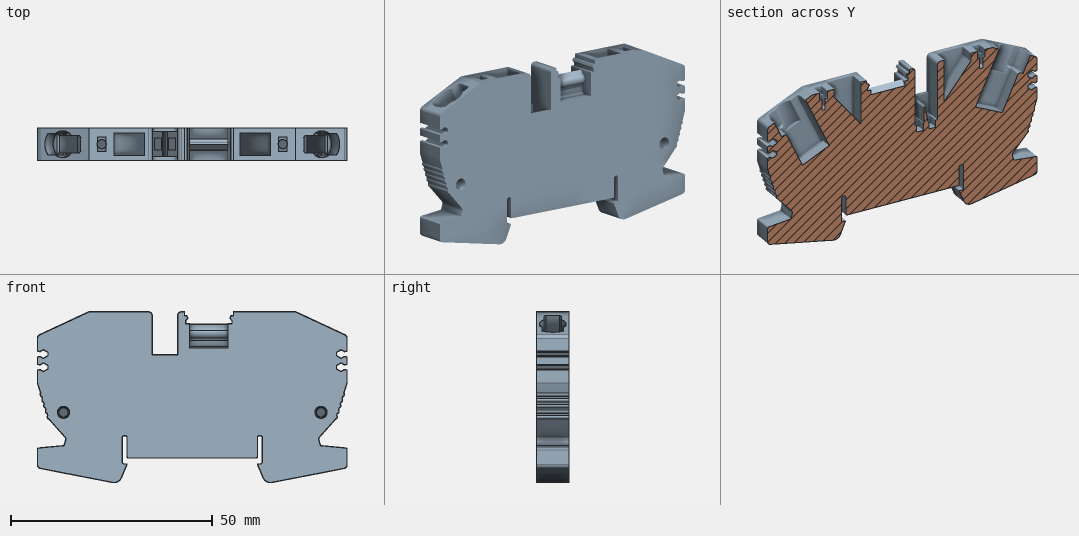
import math

import cadquery as cq

LENGTH = 76.84
THICKNESS = 8.1
HEIGHT = 42.4
HALF = LENGTH / 2

SHOULDER_X = 25.6
SLOPE = math.radians(25)
SLOPE_FOOT_Z = HEIGHT - (HALF - SHOULDER_X) * math.tan(SLOPE)
SHOULDER_RADIUS = 1.1

COMB_Z = (31.9, 28.63)
NOTCH_PROFILE = ((0.0, 0.72), (0.65, 0.55), (1.5, 1.05), (2.6, 0.4))

GRIP_TOP_Z = 24.78
GRIP_BOTTOM = (-35.57, 15.78)
RIB_TOP_Z = 22.23
RIB_PITCH = 1.4
RIB_COUNT = 5
RIB_RISE = 0.25
RIB_HEIGHT = RIB_TOP_Z - GRIP_BOTTOM[1] - (RIB_COUNT - 1) * RIB_PITCH

WAIST = (-31.3, 11.0)
WAIST_RADIUS = 0.8
FOOT_TOP_INNER = (-31.8, 9.22)
FOOT_TOP_OUTER_Z = 8.6
FOOT_TOP_RADIUS = 0.5

FOOT_TILT = math.radians(11)
FOOT_BOTTOM_RADIUS = 1.0
TOE_RADIUS = 2.0
HOOK_ANGLE = math.radians(67)
HOOK_TIP = (-16.18, 4.45)
HOOK_LEDGE_Z = 4.7
RAIL_SLOT_OUTER_X = -17.34
RAIL_SLOT_INNER_X = -16.18
RAIL_SLOT_TOP_Z = 11.64
RAIL_SLOT_RADIUS = 0.45
BASE_Z = 6.08
BASE_RADIUS = 0.4

BRIDGE_X = (-9.9, -3.65)
BRIDGE_FLOOR_Z = 31.77
BRIDGE_RADIUS = 1.0
WELL_WIDTH = 6.2
WELL_DEPTH = 5.5
RIDGE_TOP_X = -6.5
RIDGE_FOOT_X = (-7.35, -6.1)
RIDGE_DROP = 0.8
RIDGE_CHAMFER = RIDGE_FOOT_X[1] - RIDGE_TOP_X
SOCKET_X = (-8.5, -5.03)
SOCKET_SIZE = (1.8, 3.0)
SOCKET_DEPTH = 2.0

WINDOW_CENTER_X = 4.13
WINDOW_HALF = 4.75
WINDOW_FLOOR_Z = 33.35
WINDOW_LEDGE_Z = 39.45
WINDOW_EDGE = (
    (WINDOW_HALF, WINDOW_LEDGE_Z),
    (5.7, WINDOW_LEDGE_Z),
    (5.7, 40.2),
    (5.2, 40.75),
    (5.45, 41.4),
    (6.05, 41.4),
    (6.05, HEIGHT),
)

BAR_BACK_Y = 1.33
BAR_BACK_Z = 37.9
BAR_BACK_CREASE = (0.37, 38.9)
BAR_RIDGE = (-0.05, 39.32)
BAR_LIP_CENTER = (-0.07, 37.1)
BAR_LIP_RADIUS = 1.52
BAR_LIP_TOP_ANGLE = math.radians(25)
BAR_LIP_BOTTOM_ANGLE = math.radians(-50)
BAR_WEB_Y = -0.75
BAR_WEB_TOP_Z = 35.2
BAR_WEB_CHAMFER = 0.45

TEST_POCKET_X = (11.9, 19.4)
TEST_POCKET_WIDTH = 5.6
TEST_POCKET_SHALLOW = 2.3
TEST_POCKET_TILT = math.radians(51)

SLIT_X = 22.45
SLIT_SIZE = (2.1, 3.5)
SLIT_DEPTH = 2.0
SLIT_HOLE_DIAMETER = 2.3
SLIT_HOLE_DEPTH = 5.0

ENTRY_END_X = 36.54
ENTRY_WIDTH = 5.4
ENTRY_END_RADIUS = 4.5
ENTRY_DEPTH = 4.9
ENTRY_HOLE_AT = 4.8
ENTRY_HOLE_DIAMETER = 6.6
ENTRY_HOLE_DEPTH = 7.0
CLAMP_FROM = 1.5
CLAMP_TO = 9.8
CLAMP_WIDTH = 4.4
CLAMP_DEPTH = 16.0
CLAMP_CHAMFER = 0.5

PIN_HOLE_AT = (-31.92, 17.45)
PIN_HOLE_MOUTH = 3.0
PIN_HOLE_END = 2.3
PIN_HOLE_DEPTH = 4.0


def plate(points, thickness=THICKNESS):
    """Plate centred in Y, from an outline in the XZ plane."""
    return cq.Workplane("XZ").polyline(points).close().extrude(thickness / 2, both=True)


def box_between(x_range, width, z_range):
    """Box centred in Y, spanning the given X and Z ranges."""
    size_x = x_range[1] - x_range[0]
    size_z = z_range[1] - z_range[0]
    center = ((x_range[0] + x_range[1]) / 2, 0, (z_range[0] + z_range[1]) / 2)
    return cq.Workplane("XY").box(size_x, width, size_z).translate(center)


def with_mirror(solid):
    """The solid together with its mirror image across the YZ plane."""
    return solid.union(solid.mirror("YZ"))


def round_edge(body, x, z, radius):
    """Fillet the edge that runs along Y through the point (x, z)."""
    reach = 0.02
    corner = cq.selectors.BoxSelector(
        (x - reach, -THICKNESS, z - reach),
        (x + reach, THICKNESS, z + reach),
    )
    return body.edges(corner).fillet(radius)


def grip_point(z):
    """Point on the inclined grip face at height z."""
    share = (GRIP_TOP_Z - z) / (GRIP_TOP_Z - GRIP_BOTTOM[1])
    return (-HALF + share * (GRIP_BOTTOM[0] + HALF), z)


def left_half():
    """Outer half of the housing, from the end face to the middle plane."""
    toe_x = (HOOK_TIP[0]
             - (HOOK_TIP[1] - TOE_RADIUS * (1 - math.cos(HOOK_ANGLE))) / math.tan(HOOK_ANGLE)
             - TOE_RADIUS * math.sin(HOOK_ANGLE))

    def toe(angle):
        return (toe_x + TOE_RADIUS * math.sin(angle), TOE_RADIUS * (1 - math.cos(angle)))

    toe_start = toe(-FOOT_TILT)
    foot_corner_z = toe_start[1] + (toe_start[0] + HALF) * math.tan(FOOT_TILT)

    outline = (
        cq.Workplane("XZ")
        .moveTo(0, HEIGHT)
        .lineTo(-SHOULDER_X, HEIGHT)
        .lineTo(-HALF, SLOPE_FOOT_Z)
        .lineTo(-HALF, GRIP_TOP_Z)
        .lineTo(*GRIP_BOTTOM)
        .lineTo(*WAIST)
        .lineTo(*FOOT_TOP_INNER)
        .lineTo(-HALF, FOOT_TOP_OUTER_Z)
        .lineTo(-HALF, foot_corner_z)
        .lineTo(*toe_start)
        .threePointArc(toe(0), toe(HOOK_ANGLE))
        .lineTo(*HOOK_TIP)
        .lineTo(HOOK_TIP[0], HOOK_LEDGE_Z)
        .lineTo(RAIL_SLOT_OUTER_X, HOOK_LEDGE_Z)
        .lineTo(RAIL_SLOT_OUTER_X, RAIL_SLOT_TOP_Z)
        .lineTo(RAIL_SLOT_INNER_X, RAIL_SLOT_TOP_Z)
        .lineTo(RAIL_SLOT_INNER_X, BASE_Z)
        .lineTo(0, BASE_Z)
        .close()
    )
    body = outline.extrude(THICKNESS / 2, both=True)

    rounded_corners = (
        (-HALF, SLOPE_FOOT_Z, SHOULDER_RADIUS),
        (*WAIST, WAIST_RADIUS),
        (-HALF, FOOT_TOP_OUTER_Z, FOOT_TOP_RADIUS),
        (-HALF, foot_corner_z, FOOT_BOTTOM_RADIUS),
        (RAIL_SLOT_OUTER_X, HOOK_LEDGE_Z, BASE_RADIUS),
        (RAIL_SLOT_OUTER_X, RAIL_SLOT_TOP_Z, RAIL_SLOT_RADIUS),
        (RAIL_SLOT_INNER_X, RAIL_SLOT_TOP_Z, RAIL_SLOT_RADIUS),
        (RAIL_SLOT_INNER_X, BASE_Z, BASE_RADIUS),
    )
    for x, z, radius in rounded_corners:
        body = round_edge(body, x, z, radius)
    return body


def end_notch(center_z):
    """Waisted notch in the end face, open to the outside."""
    upper = [(-HALF + depth, center_z + half) for depth, half in NOTCH_PROFILE]
    lower = [(-HALF + depth, center_z - half) for depth, half in reversed(NOTCH_PROFILE)]
    return plate(upper + lower)


def grip_rib(top_z):
    """Round rib lying on the grip face."""
    top = grip_point(top_z)
    bottom = grip_point(top_z - RIB_HEIGHT)
    chord = math.dist(top, bottom)
    out_x = (bottom[1] - top[1]) / chord * RIB_RISE
    out_z = (top[0] - bottom[0]) / chord * RIB_RISE
    crest = ((top[0] + bottom[0]) / 2 + out_x, (top[1] + bottom[1]) / 2 + out_z)
    return (
        cq.Workplane("XZ")
        .moveTo(*top)
        .threePointArc(crest, bottom)
        .close()
        .extrude(THICKNESS / 2, both=True)
    )


def bridge_slot(body):
    """Slot for a jumper, with a divided well and two sockets in its floor."""
    body = body.cut(box_between(BRIDGE_X, THICKNESS, (BRIDGE_FLOOR_Z, HEIGHT)))
    for x in BRIDGE_X:
        body = round_edge(body, x, HEIGHT, BRIDGE_RADIUS)

    well_z = BRIDGE_FLOOR_Z - WELL_DEPTH
    ridge_z = BRIDGE_FLOOR_Z - RIDGE_DROP
    well = box_between(BRIDGE_X, WELL_WIDTH, (well_z, BRIDGE_FLOOR_Z))
    ridge = plate([
        (RIDGE_FOOT_X[0], well_z),
        (RIDGE_TOP_X, ridge_z),
        (RIDGE_FOOT_X[1], ridge_z - RIDGE_CHAMFER),
        (RIDGE_FOOT_X[1], well_z),
    ])
    body = body.cut(well.cut(ridge))

    for x in SOCKET_X:
        x_range = (x - SOCKET_SIZE[0] / 2, x + SOCKET_SIZE[0] / 2)
        body = body.cut(box_between(x_range, SOCKET_SIZE[1], (well_z - SOCKET_DEPTH, well_z)))
    return body


def window_cut():
    """Opening through the thickness, with jagged upper side edges."""
    edge = ((WINDOW_HALF, WINDOW_FLOOR_Z),) + WINDOW_EDGE
    right = [(WINDOW_CENTER_X + half, z) for half, z in edge]
    left = [(WINDOW_CENTER_X - half, z) for half, z in reversed(edge)]
    return plate(right + left)


def label_bar():
    """Bar across the window: ridged top, rounded front lip and a web."""
    def lip(angle):
        return (BAR_LIP_CENTER[0] - BAR_LIP_RADIUS * math.cos(angle),
                BAR_LIP_CENTER[1] + BAR_LIP_RADIUS * math.sin(angle))

    return (
        cq.Workplane("YZ")
        .workplane(offset=WINDOW_CENTER_X - WINDOW_HALF)
        .moveTo(BAR_BACK_Y, WINDOW_FLOOR_Z)
        .lineTo(BAR_BACK_Y, BAR_BACK_Z)
        .lineTo(*BAR_BACK_CREASE)
        .lineTo(*BAR_RIDGE)
        .lineTo(*lip(BAR_LIP_TOP_ANGLE))
        .threePointArc(lip(0), lip(BAR_LIP_BOTTOM_ANGLE))
        .lineTo(BAR_WEB_Y, BAR_WEB_TOP_Z)
        .lineTo(BAR_WEB_Y, WINDOW_FLOOR_Z + BAR_WEB_CHAMFER)
        .lineTo(BAR_WEB_Y - BAR_WEB_CHAMFER, WINDOW_FLOOR_Z)
        .close()
        .extrude(2 * WINDOW_HALF)
    )


def test_pocket():
    """Rectangular pocket whose floor falls steeply toward the middle."""
    inner, outer = -TEST_POCKET_X[0], -TEST_POCKET_X[1]
    outer_z = HEIGHT - TEST_POCKET_SHALLOW
    inner_z = outer_z - (inner - outer) * math.tan(TEST_POCKET_TILT)
    outline = [(outer, HEIGHT), (inner, HEIGHT), (inner, inner_z), (outer, outer_z)]
    return plate(outline, TEST_POCKET_WIDTH)


def slit():
    """Short slit with a round hole through its floor."""
    x_range = (-SLIT_X - SLIT_SIZE[0] / 2, -SLIT_X + SLIT_SIZE[0] / 2)
    hole = (
        cq.Workplane("XY")
        .workplane(offset=HEIGHT - SLIT_HOLE_DEPTH)
        .center(-SLIT_X, 0)
        .circle(SLIT_HOLE_DIAMETER / 2)
        .extrude(SLIT_HOLE_DEPTH)
    )
    return box_between(x_range, SLIT_SIZE[1], (HEIGHT - SLIT_DEPTH, HEIGHT)).union(hole)


def wire_entry():
    """Funnel, round hole and clamp shaft sunk square to the slope."""
    end_z = HEIGHT - (ENTRY_END_X - SHOULDER_X) * math.tan(SLOPE)
    face = cq.Plane(
        origin=(-ENTRY_END_X, 0, end_z),
        xDir=(math.cos(SLOPE), 0, math.sin(SLOPE)),
        normal=(-math.sin(SLOPE), 0, math.cos(SLOPE)),
    )
    half = ENTRY_WIDTH / 2
    sagitta = ENTRY_END_RADIUS - math.sqrt(ENTRY_END_RADIUS ** 2 - half ** 2)
    funnel = (
        cq.Workplane(face)
        .moveTo(ENTRY_HOLE_AT, half)
        .lineTo(sagitta, half)
        .threePointArc((0, 0), (sagitta, -half))
        .lineTo(ENTRY_HOLE_AT, -half)
        .close()
        .extrude(-ENTRY_DEPTH)
    )
    hole = (
        cq.Workplane(face)
        .center(ENTRY_HOLE_AT, 0)
        .circle(ENTRY_HOLE_DIAMETER / 2)
        .extrude(-ENTRY_HOLE_DEPTH)
    )
    shaft = (
        cq.Workplane(face)
        .center((CLAMP_FROM + CLAMP_TO) / 2, 0)
        .rect(CLAMP_TO - CLAMP_FROM, CLAMP_WIDTH)
        .extrude(-CLAMP_DEPTH)
        .edges(cq.selectors.ParallelDirSelector(face.zDir))
        .edges(">X")
        .chamfer(CLAMP_CHAMFER)
    )
    lead_in = (
        cq.Workplane(face)
        .workplane(offset=-ENTRY_DEPTH)
        .center(CLAMP_FROM + CLAMP_CHAMFER, 0)
        .rect(4 * CLAMP_CHAMFER, CLAMP_WIDTH + 2 * CLAMP_CHAMFER)
        .workplane(offset=-CLAMP_CHAMFER)
        .rect(2 * CLAMP_CHAMFER, CLAMP_WIDTH)
        .loft()
    )
    return funnel.union(hole).union(shaft).union(lead_in)


def pin_hole():
    """Blind tapered hole in the front face."""
    x, z = PIN_HOLE_AT
    return (
        cq.Workplane("XZ", origin=(x, -THICKNESS / 2, z))
        .circle(PIN_HOLE_MOUTH / 2)
        .workplane(offset=-PIN_HOLE_DEPTH)
        .circle(PIN_HOLE_END / 2)
        .loft()
    )


half_body = left_half()
for notch_z in COMB_Z:
    half_body = half_body.cut(end_notch(notch_z))
for index in range(RIB_COUNT):
    half_body = half_body.union(grip_rib(RIB_TOP_Z - index * RIB_PITCH))
for cutter in (test_pocket(), slit(), wire_entry(), pin_hole()):
    half_body = half_body.cut(cutter)

housing = bridge_slot(with_mirror(half_body))
result = housing.cut(window_cut()).union(label_bar())